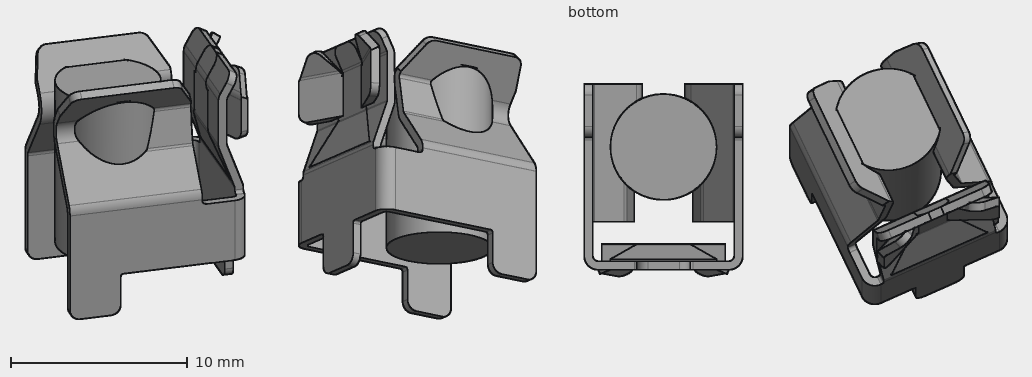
import cadquery as cq
import math

HEIGHT = 13.65
SHEET = 0.5
HALF_WIDTH = 9.0 / 2
FRONT_Y = -3.56
BACK_Y = 6.96
CORNER_R = 0.6
BEND_R = 0.3

PIN_R = 3.0
PIN_LENGTH = 10.0

BAND_BOTTOM = 2.5
BAND_TOP = 6.21
LEG_WIDTH = 3.0
LEG_RELIEF_R = 0.15

WING_BACK_Y = 4.25
WING_LEAN = 40.0
WING_FOLD_Z = 6.66
WING_FOLD_R = 0.37
WAIST_R = 1.0
FLAT_BOTTOM_Z = 9.13
FLAT_TOP_Z = 11.41
WAIST_CHANGE_Y = -0.25
WING_CHAMFER_BACK = (1.08, 2.22)
WING_CHAMFER_FRONT = (0.44, 1.99)
NOTCH_R = 0.25

PLATE_HALF_WIDTH = 3.5
PLATE_FRONT_Y = 5.49
PLATE_STEP_LEAN = 20.0
PLATE_STEP_TOP_Z = 9.19
PLATE_STEP_R = 0.15
PLATE_TIP_LEAN = 29.0
PLATE_TIP_FOLD_Z = 12.28
PLATE_NECK_R = 0.19

STOP_TIP_HALF_WIDTH = 1.0
STOP_HALF_WIDTH = 1.38
STOP_SHOULDER_Z = 11.78
STOP_FLARE_Z = 9.35
STOP_FOOT_HALF_WIDTH = 3.0
STOP_FOOT_Z = 6.82
EAR_LENGTH = 3.07
EAR_SPREAD = 24.0
EAR_BOTTOM_Z = 9.5
EAR_UPRIGHT_TOP_Z = 12.04
EAR_PEAK = 1.77
EAR_PEAK_RISE = 0.27
EAR_DROP = (1.16, 0.48)

INNER_WALL_X = HALF_WIDTH - SHEET
WING_TAN = math.tan(math.radians(WING_LEAN))
TIP_SIN = math.sin(math.radians(PLATE_TIP_LEAN))
TIP_COS = math.cos(math.radians(PLATE_TIP_LEAN))
TIP_LENGTH = (HEIGHT - PLATE_TIP_FOLD_Z) / TIP_COS


def unit(start, end):
    """Unit direction from one 2D point to another."""
    length = math.dist(start, end)
    return ((end[0] - start[0]) / length, (end[1] - start[1]) / length)


def offset_path(path, distance):
    """Mitred copy of an open path, shifted to the right of its direction."""
    directions = [unit(a, b) for a, b in zip(path, path[1:])]
    before = directions[:1] + directions
    after = directions + directions[-1:]
    shifted = []
    for point, d1, d2 in zip(path, before, after):
        scale = distance / (1 + d1[0] * d2[0] + d1[1] * d2[1])
        shifted.append((point[0] + scale * (d1[1] + d2[1]), point[1] - scale * (d1[0] + d2[0])))
    return shifted


def add_rounded_corner(sketch, before, corner, after, radius):
    """Draw a line up to a corner and an arc round it."""
    d1 = unit(before, corner)
    d2 = unit(corner, after)
    turn = math.acos(d1[0] * d2[0] + d1[1] * d2[1])
    setback = radius * math.tan(turn / 2)
    start = (corner[0] - setback * d1[0], corner[1] - setback * d1[1])
    end = (corner[0] + setback * d2[0], corner[1] + setback * d2[1])
    to_centre = unit((0, 0), (d2[0] - d1[0], d2[1] - d1[1]))
    depth = radius / math.cos(turn / 2) - radius
    middle = (corner[0] + depth * to_centre[0], corner[1] + depth * to_centre[1])
    return sketch.lineTo(*start).threePointArc(middle, end)


def bent_sheet(plane, path, bend_radii):
    """Closed section of a bent sheet. `path` is one face; the sheet lies to the right of it."""
    other_face = offset_path(path, SHEET)
    sketch = plane.moveTo(*path[0])
    face_radii = []
    for before, corner, after, radius in zip(path, path[1:], path[2:], bend_radii):
        d1 = unit(before, corner)
        d2 = unit(corner, after)
        turns_right = d1[0] * d2[1] - d1[1] * d2[0] < 0
        face_radii.append((radius + SHEET, radius) if turns_right else (radius, radius + SHEET))
    for i, radii in enumerate(face_radii, start=1):
        sketch = add_rounded_corner(sketch, path[i - 1], path[i], path[i + 1], radii[0])
    sketch = sketch.lineTo(*path[-1]).lineTo(*other_face[-1])
    for i in range(len(path) - 2, 0, -1):
        radius = face_radii[i - 1][1]
        sketch = add_rounded_corner(sketch, other_face[i + 1], other_face[i], other_face[i - 1], radius)
    return sketch.lineTo(*other_face[0]).close()


def round_edge(body, direction, point, radius):
    """Fillet the one edge along an axis that is nearest to a point."""
    nearest = cq.selectors.NearestToPointSelector(point)
    return body.edges(f"|{direction}").edges(nearest).fillet(radius)


def both_sides(body):
    """A left-hand feature and its mirror image."""
    return body.union(body.mirror("YZ"))


def make_pin():
    return cq.Workplane("XY").workplane(offset=BAND_BOTTOM).circle(PIN_R).extrude(PIN_LENGTH)


def make_band():
    path = [
        (-HALF_WIDTH, FRONT_Y),
        (-HALF_WIDTH, BACK_Y),
        (HALF_WIDTH, BACK_Y),
        (HALF_WIDTH, FRONT_Y),
    ]
    plane = cq.Workplane("XY").workplane(offset=BAND_BOTTOM)
    return bent_sheet(plane, path, [BEND_R, BEND_R]).extrude(BAND_TOP - BAND_BOTTOM)


def make_side_leg():
    leg = cq.Workplane("XY").box(SHEET, LEG_WIDTH, BAND_BOTTOM, centered=False)
    leg = leg.edges("|X and <Z").fillet(CORNER_R)
    return leg.translate((-HALF_WIDTH, FRONT_Y, 0))


def make_back_leg():
    leg = cq.Workplane("XY").box(LEG_WIDTH, SHEET, BAND_BOTTOM, centered=(True, False, False))
    leg = leg.edges("|Y and <Z").fillet(CORNER_R)
    return leg.translate((0, BACK_Y - SHEET, 0))


WING_MID_Z = 10.54
WAIST_CORNER_X = -INNER_WALL_X + (WING_MID_Z - WING_FOLD_Z) * WING_TAN
WING_TIP_X = WAIST_CORNER_X - (HEIGHT - WING_MID_Z) * WING_TAN


def wing_half(outer_path, bend_radii, start_y, end_y):
    plane = cq.Workplane("XZ", origin=(0, end_y, 0))
    return bent_sheet(plane, outer_path, bend_radii).extrude(end_y - start_y)


def make_wing():
    inner_path = [
        (-INNER_WALL_X, BAND_TOP),
        (-INNER_WALL_X, WING_FOLD_Z),
        (WAIST_CORNER_X, WING_MID_Z),
        (WING_TIP_X, HEIGHT),
    ]
    outer_path = offset_path(inner_path, -SHEET)
    fold = outer_path[1]
    tip = outer_path[3]
    flat_path = [
        outer_path[0],
        fold,
        (fold[0] + (FLAT_BOTTOM_Z - fold[1]) * WING_TAN, FLAT_BOTTOM_Z),
        (tip[0] + (tip[1] - FLAT_TOP_Z) * WING_TAN, FLAT_TOP_Z),
        tip,
    ]
    front = wing_half(outer_path, [WING_FOLD_R, WAIST_R], FRONT_Y, WAIST_CHANGE_Y)
    rear = wing_half(flat_path, [WING_FOLD_R, BEND_R, BEND_R], WAIST_CHANGE_Y, WING_BACK_Y)
    return trim_wing_tip(front.union(rear))


def trim_wing_tip(wing):
    """Slant the two ends of the leaning tip square to its sheet and round the tip corners."""
    lean = math.radians(WING_LEAN)
    normal = cq.Vector(math.cos(lean), 0, math.sin(lean))
    tip_plane = cq.Plane(origin=(WING_TIP_X, 0, HEIGHT), xDir=(0, 1, 0), normal=normal)
    for edge_y, inward, chamfer in (
        (WING_BACK_Y, -1, WING_CHAMFER_BACK),
        (FRONT_Y, 1, WING_CHAMFER_FRONT),
    ):
        corner = [(edge_y, 0), (edge_y + inward * chamfer[0], 0), (edge_y, -chamfer[1])]
        wing = wing.cut(cq.Workplane(tip_plane).polyline(corner).close().extrude(SHEET, both=True))
    across_sheet = cq.selectors.ParallelDirSelector(normal)
    return wing.edges(across_sheet).edges(">Z").fillet(CORNER_R)


TIP_Y = PLATE_FRONT_Y + TIP_LENGTH * TIP_SIN
TIP_NORMAL = (0, -TIP_COS, TIP_SIN)
TIP_PLANE = cq.Plane(origin=(0, TIP_Y, HEIGHT), xDir=(1, 0, 0), normal=TIP_NORMAL)


def make_plate(half_width, tip_length):
    tip_y = PLATE_FRONT_Y + tip_length * TIP_SIN
    tip_z = PLATE_TIP_FOLD_Z + tip_length * TIP_COS
    wall_front_y = BACK_Y - SHEET
    step_height = (wall_front_y - PLATE_FRONT_Y) / math.tan(math.radians(PLATE_STEP_LEAN))
    front_path = [
        (tip_y, tip_z),
        (PLATE_FRONT_Y, PLATE_TIP_FOLD_Z),
        (PLATE_FRONT_Y, PLATE_STEP_TOP_Z),
        (wall_front_y, PLATE_STEP_TOP_Z - step_height),
        (wall_front_y, BAND_TOP),
    ]
    back_path = offset_path(front_path, -SHEET)
    plane = cq.Workplane("YZ", origin=(-half_width, 0, 0))
    plate = bent_sheet(plane, back_path, [BEND_R, PLATE_STEP_R, PLATE_STEP_R])
    return plate.extrude(2 * half_width)


def round_tip(body):
    """Round the topmost corners of a body with a leaning tip."""
    across_sheet = cq.selectors.ParallelDirSelector(cq.Vector(*TIP_NORMAL))
    return body.edges(across_sheet).edges(">Z").fillet(CORNER_R)


def upright_prism(outline):
    """Prism through the upright part of the plate, from an XZ outline."""
    return cq.Workplane("XZ", origin=(0, BACK_Y, 0)).polyline(outline).close().extrude(BACK_Y)


def tip_prism(outline):
    """Prism square to the leaning tip, from an outline with its origin at the tip edge."""
    return cq.Workplane(TIP_PLANE).polyline(outline).close().extrude(2 * SHEET, both=True)


def make_panel(plate):
    half_outline = [
        (STOP_TIP_HALF_WIDTH, PLATE_TIP_FOLD_Z),
        (STOP_TIP_HALF_WIDTH, STOP_SHOULDER_Z),
        (STOP_HALF_WIDTH, STOP_SHOULDER_Z),
        (STOP_HALF_WIDTH, STOP_FLARE_Z),
        (STOP_FOOT_HALF_WIDTH, STOP_FOOT_Z),
    ]
    mirrored = [(-x, z) for x, z in reversed(half_outline)]
    body = upright_prism(half_outline + mirrored)
    for side in (-1, 1):
        shoulder = (side * STOP_TIP_HALF_WIDTH, BACK_Y / 2, STOP_SHOULDER_Z)
        body = round_edge(body, "Y", shoulder, NOTCH_R)
    tip = tip_prism([
        (-STOP_TIP_HALF_WIDTH, -TIP_LENGTH),
        (STOP_TIP_HALF_WIDTH, -TIP_LENGTH),
        (STOP_TIP_HALF_WIDTH, 0),
        (-STOP_TIP_HALF_WIDTH, 0),
    ])
    tip = round_tip(tip)
    return plate.intersect(body).union(plate.intersect(tip))


def make_left_ear(plate):
    """An ear cut from the plate section, hinged at the stop tip edge and folded back."""
    hinge_x = -STOP_TIP_HALF_WIDTH
    outer_x = hinge_x - EAR_LENGTH
    peak_x = hinge_x - EAR_PEAK
    fold_overlap = PLATE_TIP_FOLD_Z - EAR_UPRIGHT_TOP_Z
    body = upright_prism([
        (hinge_x, EAR_BOTTOM_Z),
        (outer_x, EAR_BOTTOM_Z),
        (outer_x, EAR_UPRIGHT_TOP_Z),
        (hinge_x, EAR_UPRIGHT_TOP_Z),
    ])
    body = round_edge(body, "Y", (outer_x, BACK_Y / 2, EAR_BOTTOM_Z), CORNER_R)
    tip = tip_prism([
        (hinge_x, -TIP_LENGTH - fold_overlap),
        (outer_x, -TIP_LENGTH - fold_overlap),
        (outer_x, -TIP_LENGTH),
        (peak_x, EAR_PEAK_RISE),
        (hinge_x - EAR_DROP[0], -EAR_DROP[1]),
    ])
    tip = round_tip(tip)
    sheet = make_plate(-outer_x, TIP_LENGTH + EAR_PEAK_RISE)
    ear = sheet.intersect(body).union(sheet.intersect(tip))
    hinge_bottom = (hinge_x, PLATE_FRONT_Y, 0)
    hinge_top = (hinge_x, PLATE_FRONT_Y, HEIGHT)
    return ear.rotate(hinge_bottom, hinge_top, -EAR_SPREAD).cut(plate)


def make_stop(plate, panel):
    return panel.union(both_sides(make_left_ear(plate)))


def make_clip(plate, panel, pin):
    clip = make_band().union(make_back_leg()).union(plate)
    clip = clip.union(both_sides(make_side_leg().union(make_wing())))
    for side in (-1, 1):
        wall_x = side * (HALF_WIDTH - SHEET / 2)
        wall_y = BACK_Y - SHEET / 2
        clip = round_edge(clip, "X", (wall_x, FRONT_Y + LEG_WIDTH, BAND_BOTTOM), LEG_RELIEF_R)
        clip = round_edge(clip, "X", (wall_x, WING_BACK_Y, BAND_TOP), NOTCH_R)
        clip = round_edge(clip, "Y", (side * LEG_WIDTH / 2, wall_y, BAND_BOTTOM), LEG_RELIEF_R)
        clip = round_edge(clip, "Y", (side * PLATE_HALF_WIDTH, wall_y, BAND_TOP), PLATE_NECK_R)
    return clip.cut(panel).cut(pin)


pin = make_pin()
plate = round_tip(make_plate(PLATE_HALF_WIDTH, TIP_LENGTH))
panel = make_panel(plate)
stop = make_stop(plate, panel)
clip = make_clip(plate, panel, pin)

result = cq.Compound.makeCompound([clip.solids().val(), stop.solids().val(), pin.val()])